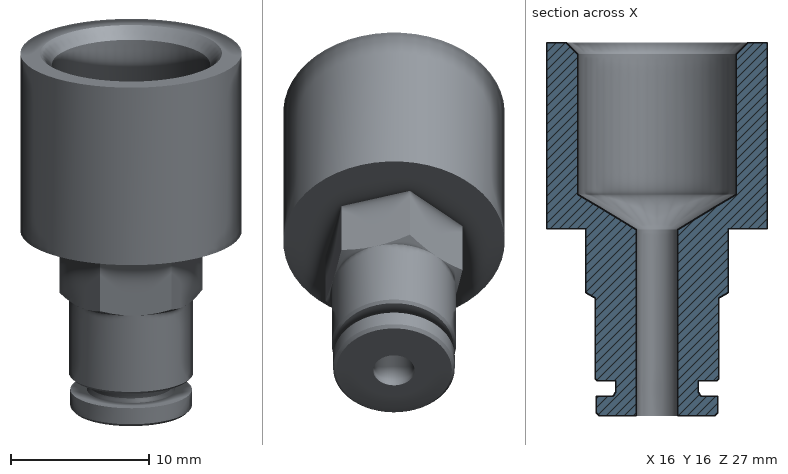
import cadquery as cq
import math

flange_height = 1.43
neck_height = 1.08
sleeve_height = 6.0
hex_height = 5.0
total_height = 27.0

flange_diameter = 8.8
neck_diameter = 6.0
sleeve_diameter = 9.0
hex_across_flats = sleeve_diameter
socket_diameter = 16.0
sleeve_chamfer = 0.2
flange_chamfer = 0.22
neck_flare_width = 0.2
neck_flare_height = 0.3
hex_chamfer_angle = 30.0

bore_diameter = 11.45
bore_depth = 11.0
mouth_diameter = 13.15
passage_diameter = 3.0
drill_point_angle = 118.0

neck_bottom = flange_height
sleeve_bottom = neck_bottom + neck_height
hex_bottom = sleeve_bottom + sleeve_height
socket_bottom = hex_bottom + hex_height


def cylinder(diameter, bottom, height):
    return cq.Workplane("XY").workplane(offset=bottom).circle(diameter / 2).extrude(height)


def revolve_profile(points):
    """Revolve (radius, height) points around the Z axis."""
    return cq.Workplane("XZ").polyline(points).close().revolve(360, (0, 0), (0, 1))


def make_neck():
    """Neck that flares out slightly where it meets the flange."""
    neck_radius = neck_diameter / 2
    return revolve_profile([
        (0, neck_bottom),
        (neck_radius + neck_flare_width, neck_bottom),
        (neck_radius, neck_bottom + neck_flare_height),
        (neck_radius, sleeve_bottom),
        (0, sleeve_bottom),
    ])


def make_hexagon():
    """Wrench hexagon with flats facing +X and -X and its lower corners turned to a cone."""
    corner_diameter = hex_across_flats / math.cos(math.radians(30))
    prism = (
        cq.Workplane("XY")
        .workplane(offset=hex_bottom)
        .polygon(6, corner_diameter)
        .extrude(hex_height)
        .rotate((0, 0, 0), (0, 0, 1), 30)
    )
    corner_radius = corner_diameter / 2
    flat_radius = hex_across_flats / 2
    cone_height = (corner_radius - flat_radius) * math.tan(math.radians(hex_chamfer_angle))
    envelope = revolve_profile([
        (0, hex_bottom),
        (flat_radius, hex_bottom),
        (corner_radius, hex_bottom + cone_height),
        (corner_radius, socket_bottom),
        (0, socket_bottom),
    ])
    return prism.intersect(envelope)


def make_cavity():
    """Socket bore with a chamfered mouth and a drill-point floor around the passage."""
    bore_radius = bore_diameter / 2
    mouth_radius = mouth_diameter / 2
    passage_radius = passage_diameter / 2
    mouth_depth = mouth_radius - bore_radius
    bore_floor = total_height - bore_depth
    point_depth = (bore_radius - passage_radius) / math.tan(math.radians(drill_point_angle / 2))
    return revolve_profile([
        (0, 0),
        (passage_radius, 0),
        (passage_radius, bore_floor - point_depth),
        (bore_radius, bore_floor),
        (bore_radius, total_height - mouth_depth),
        (mouth_radius, total_height),
        (0, total_height),
    ])


flange = cylinder(flange_diameter, 0, flange_height).faces("<Z").edges().chamfer(flange_chamfer)
neck = make_neck()
sleeve = cylinder(sleeve_diameter, sleeve_bottom, sleeve_height).faces("<Z").edges().chamfer(sleeve_chamfer)
socket = cylinder(socket_diameter, socket_bottom, total_height - socket_bottom)

outside = flange.union(neck).union(sleeve).union(make_hexagon()).union(socket)
result = outside.cut(make_cavity())